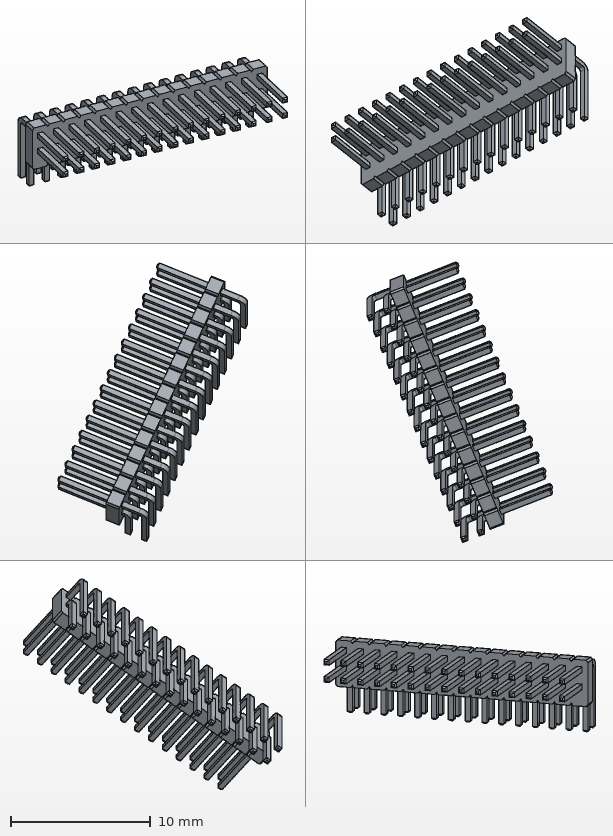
import cadquery as cq


rows = 2
positions = 15
strip_length = 19.05
pitch = strip_length / positions
strip_thickness = 1.03
strip_height = 3.43
notch_half_width = 0.13
notch_depth = 0.17

pin_width = 0.4
bend_inner_radius = 0.21
bend_outer_radius = bend_inner_radius + pin_width
tip_chamfer = 0.11

overall_reach = 6.97
overall_height = 5.64
strip_start = 1.96
strip_top_to_pin = 0.7
upper_row_z = overall_height - strip_top_to_pin
outer_leg_x = pin_width / 2


def position_y(index):
    """Y of the centre of one pin position along the strip."""
    return (index - (positions - 1) / 2) * pitch


def make_notch_cutter(y, z):
    """Diamond bar along X that cuts a V notch where it crosses a strip face."""
    return (
        cq.Workplane("YZ", origin=(strip_start, y, z))
        .moveTo(-notch_half_width, 0)
        .lineTo(0, notch_depth)
        .lineTo(notch_half_width, 0)
        .lineTo(0, -notch_depth)
        .close()
        .extrude(strip_thickness)
    )


def make_strip():
    """Strip with V notches between positions and matching half notches at its ends."""
    strip_bottom = overall_height - strip_height
    strip = cq.Workplane("XY").box(
        strip_thickness, strip_length, strip_height, centered=(False, True, False)
    )
    strip = strip.translate((strip_start, 0, strip_bottom))
    for boundary in range(positions + 1):
        notch_y = position_y(boundary) - pitch / 2
        for notch_z in (strip_bottom, overall_height):
            strip = strip.cut(make_notch_cutter(notch_y, notch_z))
    return strip


def make_pin(leg_x, arm_z):
    """Square pin: a leg standing at leg_x bent into a +X arm at height arm_z."""
    half = pin_width / 2
    pin = (
        cq.Workplane("XZ")
        .moveTo(leg_x - half, 0)
        .lineTo(leg_x + half, 0)
        .lineTo(leg_x + half, arm_z - half - bend_inner_radius)
        .radiusArc((leg_x + half + bend_inner_radius, arm_z - half), bend_inner_radius)
        .lineTo(overall_reach, arm_z - half)
        .lineTo(overall_reach, arm_z + half)
        .lineTo(leg_x - half + bend_outer_radius, arm_z + half)
        .radiusArc((leg_x - half, arm_z + half - bend_outer_radius), -bend_outer_radius)
        .close()
        .extrude(half, both=True)
    )
    return pin.faces("<Z or >X").chamfer(tip_chamfer)


result = make_strip()
for row in range(rows):
    row_offset = row * pitch
    row_pin = make_pin(outer_leg_x + row_offset, upper_row_z - row_offset)
    for index in range(positions):
        result = result.union(row_pin.translate((0, position_y(index), 0)))